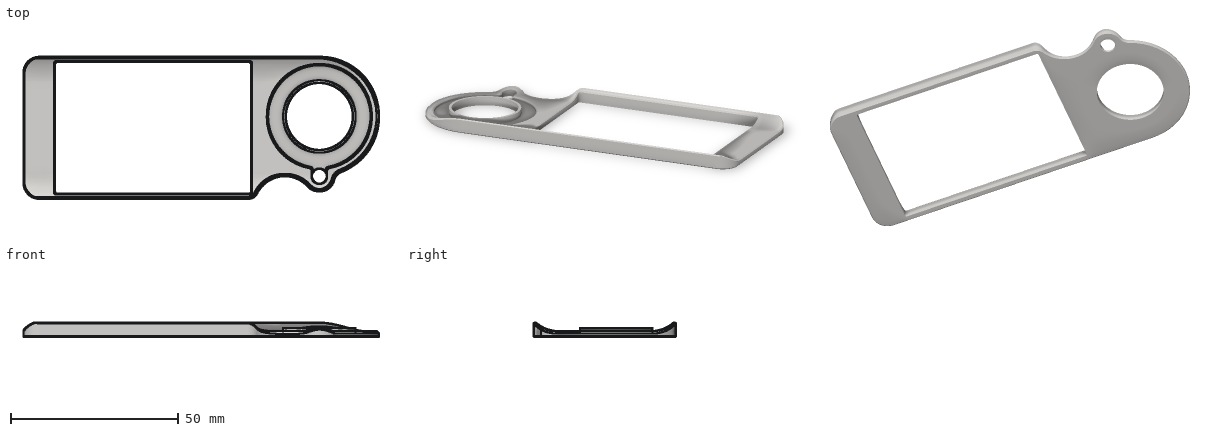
import cadquery as cq
import math

length = 106.5
width = 42.6
corner_radius = 5.0
floor_top = 1.8
dish_radius = 10.3
dish_start = 14.0
rim_chamfer = 0.7
end_chamfer = 0.3
base_chamfer = 0.3

wall = 1.6
window_start = 9.5
window_end = 68.2
window_corner = 0.5
window_chamfer = 0.3

head_radius = 17.9
ring_outer = 10.9
ring_inner = 10.0
ring_top = 2.7
recess_radius = 15.3
recess_floor = 0.7
recess_chamfer = 0.4

lug_radius = 4.6
cord_hole_radius = 2.2
neck_width = 3.8
neck_radius = 1.1
lug_blend = 3.2
scallop_radius = 9.4
scallop_x = 78.3
rail_end_radius = 3.2

blank_height = 6.4
margin = 1.1
tolerance = 0.001

half_width = width / 2
head = (length - head_radius, half_width - head_radius)
lug = (head[0], head[1] - head_radius)
lug_to_scallop = lug_radius + scallop_radius
scallop = (scallop_x, lug[1] - math.sqrt(lug_to_scallop**2 - (lug[0] - scallop_x) ** 2))
rail_end_y = -half_width + rail_end_radius
rail_end_reach = scallop_radius + rail_end_radius
rail_end_x = scallop_x - math.sqrt(rail_end_reach**2 - (rail_end_y - scallop[1]) ** 2)
rail_end = (rail_end_x, rail_end_y)


def toward(start, target, distance):
    """Point at a given distance from start on the line to target."""
    span = math.dist(start, target)
    return tuple(s + (t - s) * distance / span for s, t in zip(start, target))


def arc_middle(center, radius, start, end):
    """Middle point of the shorter arc between two points of a circle."""
    chord_middle = tuple((s + e) / 2 for s, e in zip(start, end))
    return toward(center, chord_middle, radius)


def circle_crossing(first, first_radius, second, second_radius):
    """Crossing of two circles, on the left when going from first to second."""
    span = math.dist(first, second)
    along = (first_radius**2 - second_radius**2 + span**2) / (2 * span)
    aside = math.sqrt(first_radius**2 - along**2)
    ux, uy = ((b - a) / span for a, b in zip(first, second))
    return (first[0] + along * ux - aside * uy, first[1] + along * uy + aside * ux)


def cylinder(center, radius, top, bottom=0.0):
    return cq.Workplane("XY", origin=(*center, bottom)).circle(radius).extrude(top - bottom)


def outline():
    """Closed outer outline of the plate, starting on the upper long side."""
    blend = circle_crossing(head, head_radius + lug_blend, lug, lug_radius + lug_blend)
    blend_at_head = toward(head, blend, head_radius)
    blend_at_lug = toward(lug, blend, lug_radius)
    blend_middle = arc_middle(blend, lug_blend, blend_at_head, blend_at_lug)
    lug_at_scallop = toward(lug, scallop, lug_radius)
    scallop_at_rail = toward(scallop, rail_end, scallop_radius)
    rail_tip = (rail_end_x, -half_width)
    rail_end_middle = arc_middle(rail_end, rail_end_radius, scallop_at_rail, rail_tip)
    corner_inset = corner_radius * (1 - math.sqrt(0.5))
    return (
        cq.Workplane("XY")
        .moveTo(corner_radius, half_width)
        .lineTo(head[0], half_width)
        .threePointArc((length, head[1]), blend_at_head)
        .threePointArc(blend_middle, blend_at_lug)
        .threePointArc((lug[0], lug[1] - lug_radius), lug_at_scallop)
        .threePointArc((scallop_x, scallop[1] + scallop_radius), scallop_at_rail)
        .threePointArc(rail_end_middle, rail_tip)
        .lineTo(corner_radius, -half_width)
        .threePointArc((corner_inset, corner_inset - half_width), (0, corner_radius - half_width))
        .lineTo(0, half_width - corner_radius)
        .threePointArc((corner_inset, half_width - corner_inset), (corner_radius, half_width))
        .close()
    )


def dish_height(y):
    """Height of the dished top at a distance y from the centre line, in the sweep."""
    return floor_top + dish_radius - math.sqrt(dish_radius**2 - (y - dish_start) ** 2)


def dish():
    """Space above the plate: flat in the middle, curving up to both long sides."""
    side = half_width + margin
    middle = (dish_start + side) / 2
    return (
        cq.Workplane("YZ")
        .moveTo(-dish_start, floor_top)
        .lineTo(dish_start, floor_top)
        .threePointArc((middle, dish_height(middle)), (side, dish_height(side)))
        .lineTo(side, blank_height + margin)
        .lineTo(-side, blank_height + margin)
        .lineTo(-side, dish_height(side))
        .threePointArc((-middle, dish_height(middle)), (-dish_start, floor_top))
        .close()
        .extrude(length + margin)
    )


def is_rim(edge):
    """True for an edge where the dished top meets the outer side of the plate."""
    box = edge.BoundingBox()
    on_top = box.zmin > floor_top - tolerance
    upright = box.xlen < tolerance and box.ylen < tolerance
    sweep_line = box.ylen < tolerance and abs(abs(box.center.y) - dish_start) < tolerance
    return on_top and not upright and not sweep_line


def with_rim_chamfer(body, size):
    rim = [edge for edge in body.edges().vals() if is_rim(edge)]
    return body.newObject(rim).chamfer(size)


def slab(start, end):
    """Block across the whole plate between two X positions."""
    middle = (start + end) / 2
    return cq.Workplane("XY").box(end - start, 2 * width, 2 * blank_height).translate((middle, 0, 0))


def chamfered_plate():
    """Dished plate with a broad rim chamfer and a finer one around the left end.

    The bevels of the rails run straight out through the left corners.
    """
    plate = outline().extrude(blank_height).faces("<Z").chamfer(base_chamfer).cut(dish())
    broad = with_rim_chamfer(plate, rim_chamfer)
    fine = with_rim_chamfer(plate, end_chamfer)
    rail_profile = broad.intersect(slab(corner_radius, 3 * corner_radius))
    rail_run = rail_profile.translate((-2 * corner_radius, 0, 0))
    left_end = fine.intersect(slab(-margin, corner_radius)).intersect(rail_run)
    return broad.intersect(slab(corner_radius, length + margin)).union(left_end)


def window():
    window_length = window_end - window_start
    return (
        cq.Workplane("XY", origin=(window_start + window_length / 2, 0, 0))
        .rect(window_length, width - 2 * wall)
        .extrude(blank_height)
        .edges("|Z")
        .fillet(window_corner)
    )


def recess():
    """Round recess with a round-ended neck running into the cord hole."""
    neck = (
        cq.Workplane("XY", origin=(*lug, recess_floor))
        .center(0, head_radius / 4)
        .rect(neck_width, head_radius / 2)
        .extrude(blank_height - recess_floor)
    )
    neck_end = cylinder(lug, neck_width / 2, blank_height, recess_floor)
    disc = cylinder(head, recess_radius, blank_height, recess_floor)
    mouth_y = head[1] - math.sqrt(recess_radius**2 - (neck_width / 2) ** 2)
    mouth = cq.selectors.BoxSelector(
        (lug[0] - neck_width, mouth_y - neck_radius / 2, 0),
        (lug[0] + neck_width, mouth_y + neck_radius / 2, blank_height),
    )
    return disc.union(neck).union(neck_end).edges("|Z").edges(mouth).fillet(neck_radius)


def cut_with_chamfer(body, opening, size):
    """Cut an opening and chamfer the edges it leaves in the dished top."""
    body = body.cut(opening)

    def touches_opening(edge):
        points = [edge.positionAt(t).toTuple() for t in (0.1, 0.5, 0.9)]
        return all(cq.Vertex.makeVertex(*p).distance(opening.val()) < tolerance for p in points)

    top_edges = [
        edge
        for edge in body.edges().vals()
        if edge.BoundingBox().zmin > floor_top - tolerance and touches_opening(edge)
    ]
    return body.newObject(top_edges).chamfer(size)


part = cut_with_chamfer(chamfered_plate(), window(), window_chamfer)
part = cut_with_chamfer(part, recess(), recess_chamfer)
part = part.union(cylinder(head, ring_outer, ring_top))
part = part.cut(cylinder(head, ring_inner, ring_top))
result = part.cut(cylinder(lug, cord_hole_radius, blank_height))